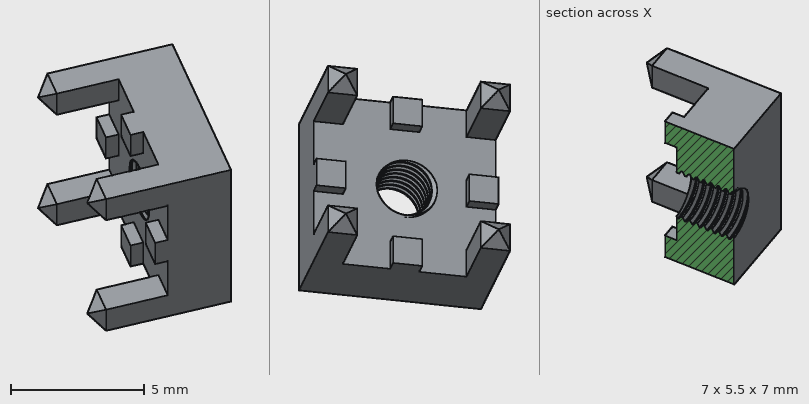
import cadquery as cq
import math

side = 7.0
plate_thickness = 2.5
overall_depth = 5.5

leg_width = 1.125
point_length = leg_width / 2
pad_height = 0.5

thread_diameter = 2.5
threads_per_inch = 80
thread_pitch = 25.4 / threads_per_inch
flank_angle = 30
flank_slope = math.tan(math.radians(flank_angle))
sharp_height = thread_pitch / (2 * flank_slope)
thread_depth = 5 / 8 * sharp_height
major_radius = thread_diameter / 2
minor_radius = major_radius - thread_depth
root_flat = thread_pitch / 8
root_start_angle = -10
bore_overlap = 0.02
turns_beyond_face = 2

leg_length = overall_depth - plate_thickness - point_length
edge_centre = (side - leg_width) / 2


def block_on_plate(x, z, height):
    """Square block standing on the plate's front face, centred at (x, z)."""
    block = cq.Workplane("XY").box(leg_width, height, leg_width)
    return block.translate((x, -plate_thickness - height / 2, z))


def leg_point(x, z):
    """Pyramid point that ends the leg centred at (x, z)."""
    base_y = -plate_thickness - leg_length
    half = leg_width / 2
    apex = cq.Vector(x, base_y - point_length, z)
    corners = [
        cq.Vector(x + half * sign_x, base_y, z + half * sign_z)
        for sign_x, sign_z in ((-1, -1), (1, -1), (1, 1), (-1, 1))
    ]
    faces = [cq.Face.makeFromWires(cq.Wire.makePolygon(corners, close=True))]
    for i, corner in enumerate(corners):
        triangle = cq.Wire.makePolygon([corners[i - 1], corner, apex], close=True)
        faces.append(cq.Face.makeFromWires(triangle))
    return cq.Workplane(obj=cq.Solid.makeSolid(cq.Shell.makeShell(faces)))


def thread_groove():
    """Right-handed 60 degree groove that runs out past both plate faces.

    Built along +Z, then turned so that +Z becomes -Y; its root meets the
    front face near the +X side of the hole.
    """
    run_out = turns_beyond_face * thread_pitch
    length = plate_thickness + 2 * run_out
    inner_radius = minor_radius - bore_overlap
    root_half = root_flat / 2
    mouth_half = root_half + (major_radius - inner_radius) * flank_slope
    path = cq.Wire.makeHelix(thread_pitch, length, major_radius)
    profile = cq.Workplane("XZ").polyline([
        (inner_radius, -mouth_half),
        (major_radius, -root_half),
        (major_radius, root_half),
        (inner_radius, mouth_half),
    ]).close()
    groove = profile.sweep(cq.Workplane(obj=path), isFrenet=True)
    front_phase = 360 * (plate_thickness + run_out) / thread_pitch
    groove = groove.translate((0, 0, -run_out))
    groove = groove.rotate((0, 0, 0), (0, 0, 1), root_start_angle - front_phase)
    return groove.rotate((0, 0, 0), (1, 0, 0), 90)


plate = cq.Workplane("XY").box(side, plate_thickness, side)
plate = plate.translate((0, -plate_thickness / 2, 0))
bore = cq.Workplane("XZ").circle(minor_radius).extrude(plate_thickness)
result = plate.cut(thread_groove()).cut(bore)

for x in (-edge_centre, edge_centre):
    for z in (-edge_centre, edge_centre):
        result = result.union(block_on_plate(x, z, leg_length))
        result = result.union(leg_point(x, z))

for offset in (-edge_centre, edge_centre):
    result = result.union(block_on_plate(offset, 0, pad_height))
    result = result.union(block_on_plate(0, offset, pad_height))

result = result.clean()